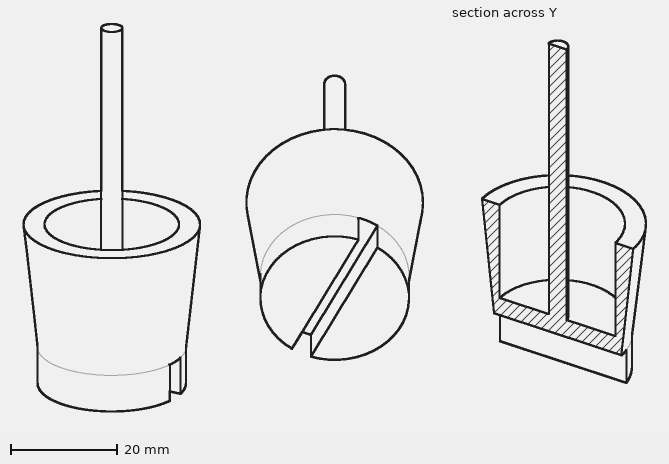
import cadquery as cq

total_height = 72.25
rim_height = 32.3
base_height = 7.4
rim_diameter = 33.25
base_diameter = 28.0
bore_diameter = 25.3
pin_diameter = 4.0
slot_width = 4.0

floor_thickness = (rim_diameter - bore_diameter) / 2
floor_height = base_height + floor_thickness


def cup_body():
    """Cylindrical foot with a conical wall widening up to the rim."""
    base_radius = base_diameter / 2
    rim_radius = rim_diameter / 2
    profile = (
        cq.Workplane("XZ")
        .lineTo(base_radius, 0)
        .lineTo(base_radius, base_height)
        .lineTo(rim_radius, rim_height)
        .lineTo(0, rim_height)
        .close()
    )
    return profile.revolve(360, (0, 0, 0), (0, 1, 0))


def bore():
    """Blind round cavity, open at the rim, with its floor above the slotted foot."""
    return (
        cq.Workplane("XY", origin=(0, 0, floor_height))
        .circle(bore_diameter / 2)
        .extrude(rim_height - floor_height)
    )


def foot_slot():
    """Slot along X through the full width and height of the foot."""
    return cq.Workplane("XY").rect(base_diameter, slot_width).extrude(base_height)


def pin():
    """Central pin standing on the cavity floor."""
    return (
        cq.Workplane("XY", origin=(0, 0, floor_height))
        .circle(pin_diameter / 2)
        .extrude(total_height - floor_height)
    )


result = cup_body().cut(bore()).cut(foot_slot()).union(pin())